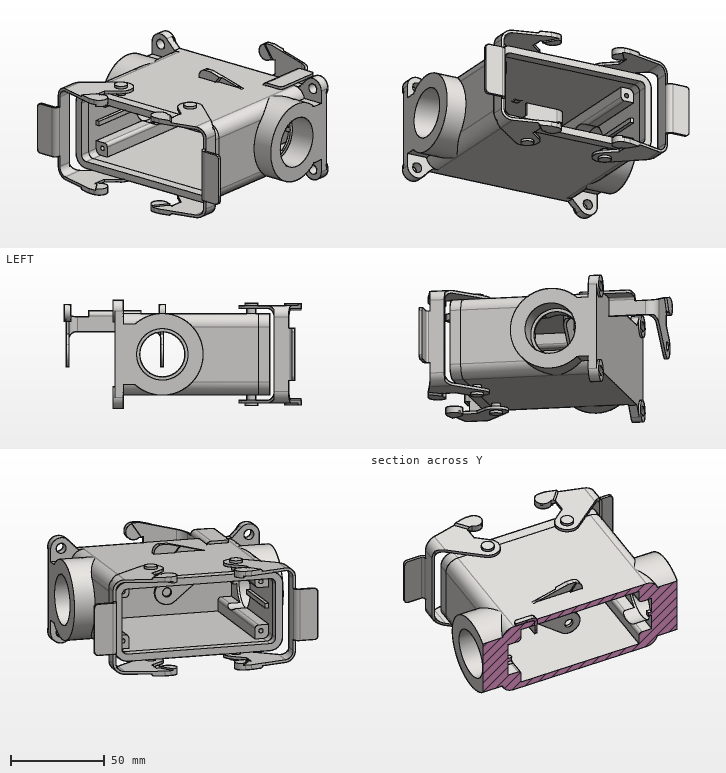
import cadquery as cq
import math


body_width = 93.9
body_height = 43.6
body_corner_radius = 7.1
wall = 3.9
embed = 0.6
cavity_corner_radius = 3.2
mouth_y = -82.8
rim_depth = 6.0
shell_front_y = mouth_y + rim_depth
half_height = body_height / 2
cavity_half_width = body_width / 2 - wall
cavity_half_height = half_height - wall
cavity_rear_y = -wall

entry_half_span = 58.5
entry_y = -25.4
entry_radius = half_height
entry_bore_diameter = 27.5
entry_through_diameter = 24.0
entry_bore_depth = 14.2
neck_half_height = 16.1

plate_thickness = 4.6
ear_diameter = 11.8
ear_radius = ear_diameter / 2
ear_hole_diameter = 5.5
ear_span = 58.0
ear_top = ear_span / 2
ear_pad_rise = 1.1
ear_x = entry_half_span - ear_radius
ear_z = ear_top - ear_radius

post_size = 7.6
post_corner_radius = 1.9
post_front_y = -70.5
post_hole_diameter = 2.4
post_hole_depth = 12.7
post_hole_x = 38.7
post_hole_z = 13.6
rib_depth = 2.0
rib_width = 2.5

pivot_x = 23.8
pivot_y = -73.0
pin_diameter = 5.0
pin_head_diameter = 7.0
pin_head_top = 27.4

sheet = 1.5
leg_outer_z = 26.0
leg_inner_z = leg_outer_z - sheet
arm_radius = 6.7
bend_radius = 6.1
web_x = 27.3
web_rear_y = -12.0
web_front_y = -19.8
arm_edge_end = (25.6, web_rear_y)
notch_corner = (2.7, -10.9)
notch_front_y = -18.6
hook_centre = (-3.0, -22.2)
hook_radius = 4.6
hook_toe_x = 0.4
hook_outer_z = 27.1
hook_inner_z = 23.6
hook_reach = 5 * hook_radius
hook_ramp = 0.9
hook_outer_rear = (-0.8, -14.6)
hook_outer_front = (9.1, -27.0)
hook_inner_rear = (1.3, notch_front_y)
hook_inner_front = (-4.5, -27.0)
tab_half_width = 14.1
tab_corner_radius = 2.0
tab_bend_radius = 2.8
tab_front_y = -23.3
tab_reach = 38.7


def box(x_range, y_range, z_range):
    """Box between three pairs of limits."""
    size = [abs(b - a) for a, b in (x_range, y_range, z_range)]
    centre = tuple((a + b) / 2 for a, b in (x_range, y_range, z_range))
    return cq.Workplane("XY").box(*size).translate(centre)


def along_y(y):
    """XZ sketch plane at a Y position; positive extrusions run toward -Y."""
    return cq.Workplane("XZ", origin=(0, y, 0))


def outer_block(front_y, rear_y):
    """Rounded outer section of the housing between two Y positions."""
    block = along_y(front_y).rect(body_width, body_height).extrude(front_y - rear_y)
    return block.edges("|Y").fillet(body_corner_radius)


def cavity_block(front_y, rear_y):
    """Inner section of the housing between two Y positions."""
    block = along_y(front_y).rect(2 * cavity_half_width, 2 * cavity_half_height).extrude(front_y - rear_y)
    return block.edges("|Y").fillet(cavity_corner_radius)


def mirrored(solid, side, level):
    """Copy of a solid built at +X and +Z, moved to the given signs of X and Z."""
    if side < 0:
        solid = solid.mirror("YZ")
    if level < 0:
        solid = solid.mirror("XY")
    return solid


def ear():
    """Mounting ear: a round pad with a foot that runs down to the base plate at 45 degrees."""
    diagonal = ear_radius * math.sqrt(0.5)
    tangent_x = ear_x - diagonal
    tangent_z = ear_z + diagonal
    foot_x = tangent_x - (tangent_z - half_height)
    foot_bottom = half_height - wall
    foot = (
        along_y(0)
        .moveTo(entry_half_span, foot_bottom)
        .lineTo(entry_half_span, ear_z)
        .threePointArc((ear_x, ear_top), (tangent_x, tangent_z))
        .lineTo(foot_x, half_height)
        .lineTo(foot_x, foot_bottom)
        .close()
        .extrude(plate_thickness)
    )
    pad = along_y(0).center(ear_x, ear_z).circle(ear_radius).extrude(-ear_pad_rise)
    return foot.union(pad)


def ear_hole():
    """Screw hole through an ear and the plate below it."""
    start = along_y(ear_pad_rise).center(ear_x, ear_z)
    return start.circle(ear_hole_diameter / 2).extrude(ear_pad_rise + plate_thickness)


def cable_entry(side):
    """Round entry boss and the neck block behind it."""
    inner_x = body_width / 2 - body_corner_radius
    boss = (
        cq.Workplane("YZ", origin=(inner_x, entry_y, 0)).circle(entry_radius)
        .extrude(entry_half_span - inner_x)
    )
    neck = box((inner_x, entry_half_span), (entry_y, 0), (-neck_half_height, neck_half_height))
    solid = boss.union(neck)
    return solid if side > 0 else solid.mirror("YZ")


def entry_bores():
    """Through hole across both entries, with a wider bore at each end."""
    bores = (
        cq.Workplane("YZ", origin=(-entry_half_span, entry_y, 0))
        .circle(entry_through_diameter / 2).extrude(2 * entry_half_span)
    )
    for start in (-entry_half_span, entry_half_span - entry_bore_depth):
        wide_bore = (
            cq.Workplane("YZ", origin=(start, entry_y, 0))
            .circle(entry_bore_diameter / 2).extrude(entry_bore_depth)
        )
        bores = bores.union(wide_bore)
    return bores


def screw_post():
    """Corner post with a blind screw hole in its front end."""
    inner_x = cavity_half_width - post_size
    inner_z = cavity_half_height - post_size
    post = box((inner_x, cavity_half_width + embed), (post_front_y, cavity_rear_y),
               (inner_z, cavity_half_height + embed))
    post = post.edges("|Y and <X and <Z").fillet(post_corner_radius)
    hole = along_y(post_front_y).center(post_hole_x, post_hole_z).circle(post_hole_diameter / 2)
    return post.cut(hole.extrude(-post_hole_depth))


def guide_rib(side):
    """Small rib along the middle of a side wall."""
    return box(
        (side * (cavity_half_width - rib_depth), side * (cavity_half_width + embed)),
        (post_front_y, cavity_rear_y),
        (-rib_width / 2, rib_width / 2),
    )


def pivot_pin():
    """Headed pivot stub."""
    foot_z = half_height - embed
    shank = (
        cq.Workplane("XY", origin=(pivot_x, pivot_y, foot_z))
        .circle(pin_diameter / 2).extrude(leg_outer_z - foot_z)
    )
    head = (
        cq.Workplane("XY", origin=(pivot_x, pivot_y, leg_outer_z))
        .circle(pin_head_diameter / 2).extrude(pin_head_top - leg_outer_z)
    )
    return shank.union(head)


def make_housing():
    """Housing shell with entries, ears, posts, ribs and pivot pins."""
    body = outer_block(shell_front_y, 0)
    body = body.union(along_y(0).rect(2 * entry_half_span, body_height).extrude(plate_thickness))
    for side in (1, -1):
        body = body.union(cable_entry(side))
        for level in (1, -1):
            body = body.union(mirrored(ear(), side, level))
            body = body.cut(mirrored(ear_hole(), side, level))
    body = body.cut(cavity_block(shell_front_y, cavity_rear_y))
    for side in (1, -1):
        body = body.union(guide_rib(side))
        for level in (1, -1):
            body = body.union(mirrored(screw_post(), side, level))
    body = body.cut(entry_bores())
    for side in (1, -1):
        for level in (1, -1):
            body = body.union(mirrored(pivot_pin(), side, level))
    return body


def make_rim():
    """Frame that closes the front end of the shell, with the same section."""
    return outer_block(mouth_y, shell_front_y).cut(cavity_block(mouth_y, shell_front_y))


def arm_point(angle):
    """Point of the round arm end at an angle about the pivot."""
    return (arm_radius * math.cos(angle), arm_radius * math.sin(angle))


def tangent_angle(point, turn):
    """Angle on the arm end where the line to an outside point is tangent."""
    distance = math.hypot(*point)
    return math.atan2(point[1], point[0]) + turn * math.acos(arm_radius / distance)


def lever_outline():
    """Closed outline of the lever seen along its pivot axis."""
    edge_angle = tangent_angle(arm_edge_end, 1)
    notch_angle = tangent_angle(notch_corner, -1)
    middle_angle = (edge_angle + notch_angle + 2 * math.pi) / 2
    hook_x, hook_y = hook_centre
    hook_bottom = hook_y - hook_radius
    hook_entry_dx = math.sqrt(hook_radius ** 2 - (notch_front_y - hook_y) ** 2)
    return (
        cq.Workplane("XY")
        .moveTo(*arm_point(edge_angle))
        .lineTo(*arm_edge_end)
        .lineTo(web_x, web_rear_y)
        .lineTo(web_x, web_front_y)
        .lineTo(hook_toe_x, hook_bottom)
        .lineTo(hook_x, hook_bottom)
        .threePointArc((hook_x - hook_radius, hook_y), (hook_x + hook_entry_dx, notch_front_y))
        .lineTo(notch_corner[0], notch_front_y)
        .lineTo(*notch_corner)
        .lineTo(*arm_point(notch_angle))
        .threePointArc(arm_point(middle_angle), arm_point(edge_angle))
        .close()
    )


def hook_pad(rear, front, section):
    """Bar along the line from rear to front; its section grows toward the hook tip and up."""
    step_x = front[0] - rear[0]
    step_y = front[1] - rear[1]
    length = math.hypot(step_x, step_y)
    line = cq.Plane(
        origin=(rear[0], rear[1], 0),
        xDir=(step_y, -step_x, 0),
        normal=(-step_x, -step_y, 0),
    )
    bar = cq.Workplane(line).workplane(offset=-length)
    return bar.polyline(section).close().extrude(length)


def make_lever():
    """Lever with two legs, web, finger tab and hooks; web toward +X."""
    far = 2 * web_x
    outside = box((-far, web_x), (-far, far), (-leg_outer_z, leg_outer_z))
    inside = box((-far, web_x - sheet), (-far, far), (-leg_inner_z, leg_inner_z))
    outside = outside.edges("|Y and >X").fillet(bend_radius)
    inside = inside.edges("|Y and >X").fillet(bend_radius - sheet)
    strip = outside.cut(inside)
    lever = strip.intersect(lever_outline().extrude(2 * leg_outer_z).translate((0, 0, -leg_outer_z)))

    outer_section = [
        (0, leg_outer_z), (hook_ramp, hook_outer_z), (hook_reach, hook_outer_z),
        (hook_reach, leg_inner_z), (0, leg_inner_z),
    ]
    inner_section = [
        (0, leg_outer_z), (hook_reach, leg_outer_z), (hook_reach, hook_inner_z), (0, hook_inner_z),
    ]
    outline_block = lever_outline().extrude(hook_outer_z)
    for pad in (
        hook_pad(hook_outer_rear, hook_outer_front, outer_section),
        hook_pad(hook_inner_rear, hook_inner_front, inner_section),
    ):
        hook = pad.intersect(outline_block)
        lever = lever.union(hook).union(hook.mirror("XY"))

    tab = (
        cq.Workplane("XY", origin=(0, 0, -tab_half_width))
        .moveTo(web_x - sheet, web_front_y + sheet)
        .lineTo(web_x - sheet, tab_front_y)
        .lineTo(tab_reach, tab_front_y)
        .lineTo(tab_reach, tab_front_y + sheet)
        .lineTo(web_x, tab_front_y + sheet)
        .lineTo(web_x, web_front_y + sheet)
        .close()
        .extrude(2 * tab_half_width)
    )
    tab = tab.edges("|Z and <X and <Y").fillet(tab_bend_radius)
    bend_inside = cq.selectors.NearestToPointSelector((web_x, tab_front_y + sheet, 0))
    tab = tab.edges(bend_inside).fillet(tab_bend_radius - sheet)
    tab = tab.edges("|Y and >X").fillet(tab_corner_radius)
    lever = lever.union(tab)

    pivot_holes = cq.Workplane("XY", origin=(0, 0, -far)).circle(pin_diameter / 2).extrude(2 * far)
    return lever.cut(pivot_holes)


lever = make_lever()
right_lever = lever.translate((pivot_x, pivot_y, 0))
left_lever = right_lever.mirror("YZ")

cross_lever = lever.rotate((0, 0, 0), (1, 0, 0), -90)

housing = make_housing().cut(cross_lever)
rim = make_rim()

bodies = [housing, rim, right_lever, left_lever, cross_lever]
result = cq.Compound.makeCompound([body.solids().val() for body in bodies])